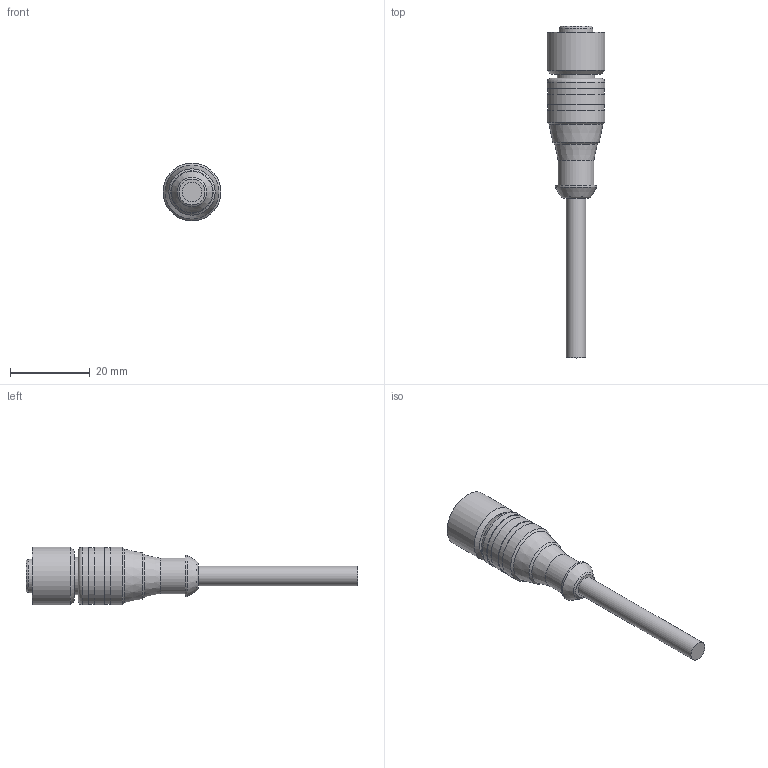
import cadquery as cq


overall_length = 83.1
body_radius = 14.5 / 2

insert_radius = 4.2
insert_length = 1.6
insert_chamfer_length = 0.6
insert_chamfer_depth = 0.25

nut_end = 12.1
nut_chamfer = 1.0

neck_radius = 4.7

grip_start = 13.1
grip_end = 24.1
grip_fillet = 1.0
groove_starts = (15.6, 19.6)
groove_width = 1.5
groove_depth = 0.15

step_bevel = 0.5
upper_taper_end = 29.1
upper_taper_end_radius = 5.8
lower_taper_end = 33.6
lower_taper_start_radius = upper_taper_end_radius - step_bevel

sleeve_radius = 4.45
collar_start = 39.9
collar_rim_width = 0.5
collar_radius = 5.2
collar_cone_end = 42.8
collar_tip_radius = 3.7
collar_end = 43.15
collar_tip_bevel = 0.45

cable_radius = 2.45


def disc(start, end, radius):
    """Cylinder about Y between two stations."""
    return frustum(start, end, radius, radius)


def frustum(start, end, start_radius, end_radius):
    """Truncated cone about Y between two stations."""
    outline = [(0, -start), (start_radius, -start), (end_radius, -end), (0, -end)]
    return cq.Workplane("XY").polyline(outline).close().revolve(axisStart=(0, 0), axisEnd=(0, 1))


def make_insert():
    tip_radius = insert_radius - insert_chamfer_depth
    tip = frustum(0, insert_chamfer_length, tip_radius, insert_radius)
    return tip.union(disc(insert_chamfer_length, insert_length, insert_radius))


def make_nut():
    return disc(insert_length, nut_end, body_radius).faces("<Y").chamfer(nut_chamfer)


def make_grip():
    grip = disc(grip_start, grip_end, body_radius).faces(">Y").edges().fillet(grip_fillet)
    for start in groove_starts:
        end = start + groove_width
        ring = disc(start, end, body_radius).cut(disc(start, end, body_radius - groove_depth))
        grip = grip.cut(ring)
    return grip


def make_tapers():
    upper_start = grip_end + step_bevel
    upper_start_radius = body_radius - step_bevel
    lower_start = upper_taper_end + step_bevel
    upper_bevel = frustum(grip_end, upper_start, body_radius, upper_start_radius)
    upper = frustum(upper_start, upper_taper_end, upper_start_radius, upper_taper_end_radius)
    lower_bevel = frustum(upper_taper_end, lower_start, upper_taper_end_radius, lower_taper_start_radius)
    lower = frustum(lower_start, lower_taper_end, lower_taper_start_radius, sleeve_radius)
    return upper_bevel.union(upper).union(lower_bevel).union(lower)


def make_collar():
    cone_start = collar_start + collar_rim_width
    rim = disc(collar_start, cone_start, collar_radius)
    cone = frustum(cone_start, collar_cone_end, collar_radius, collar_tip_radius)
    bevel = frustum(collar_cone_end, collar_end, collar_tip_radius, collar_tip_radius - collar_tip_bevel)
    return rim.union(cone).union(bevel)


result = (
    make_insert()
    .union(make_nut())
    .union(disc(nut_end, grip_start, neck_radius))
    .union(make_grip())
    .union(make_tapers())
    .union(disc(lower_taper_end, collar_start, sleeve_radius))
    .union(make_collar())
    .union(disc(collar_end, overall_length, cable_radius))
)